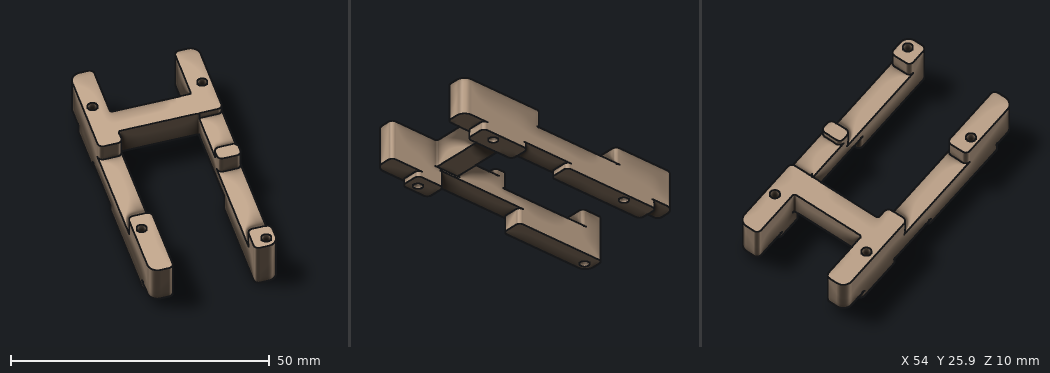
import cadquery as cq

length = 54.05
width = 25.95
height = 10.0

rail_width = 4.8
floor_z = 6.2
outer_radius = 2.05
corner_radius = 1.05
rear_y = width - rail_width

front_end_z = 1.85
front_gap_z = 1.3
rear_end_z = 1.3
rear_gap_z = 3.5

front_left_foot = (5.15, 16.55)
front_right_foot = (26.55, 49.4)
rear_left_foot = (6.75, 13.4)
rear_right_foot = (32.65, length)

front_left_post_end = 19.85
front_right_post_start = 39.0
rear_left_post_end = 16.85
rear_right_post_start = 48.9

lug_start = 26.5
lug_end = 29.6
step_z = 8.55

bar_start = 11.55
bar_end = rear_left_post_end
bar_bottom_z = 4.0
bar_fillet = 0.5

hole_diameter = 2.0
hole_centers = [(9.25, 1.9), (42.6, 1.75), (9.25, 24.05), (51.95, 24.05)]


def block(x_range, y_range, z_range):
    """Box filling the given X, Y and Z ranges."""
    size = [r[1] - r[0] for r in (x_range, y_range, z_range)]
    return cq.Workplane("XY").box(*size, centered=False).translate((x_range[0], y_range[0], z_range[0]))


def rail_piece(rail_y, x_range, z_range):
    """Full-width piece of a rail, rounded at its vertical edges."""
    piece = block(x_range, (rail_y, rail_y + rail_width), z_range)
    outer_side, inner_side = (">Y", "<Y") if rail_y == rear_y else ("<Y", ">Y")
    for x_end, x_side, rail_end in ((x_range[0], "<X", 0), (x_range[1], ">X", length)):
        outer = outer_radius if x_end == rail_end else corner_radius
        piece = piece.edges("|Z").edges(x_side).edges(outer_side).fillet(outer)
        piece = piece.edges("|Z").edges(x_side).edges(inner_side).fillet(corner_radius)
    return piece


def front_rail():
    gap_x = (front_left_foot[1] - corner_radius, front_right_foot[0] + corner_radius)
    rail = rail_piece(0, (0, length), (front_end_z, floor_z))
    rail = rail.union(block(gap_x, (0, rail_width), (front_gap_z, front_end_z)))
    for foot in (front_left_foot, front_right_foot):
        rail = rail.union(rail_piece(0, foot, (0, front_end_z)))
    for post in ((0, front_left_post_end), (front_right_post_start, length)):
        rail = rail.union(rail_piece(0, post, (floor_z, height)))
    return rail


def rear_rail():
    step_x = (bar_start, (lug_start + lug_end) / 2)
    rail = rail_piece(rear_y, (0, length), (rear_gap_z, floor_z))
    rail = rail.union(block(step_x, (rear_y, width), (floor_z, step_z)))
    left_end_x = (0, rear_left_foot[1])
    rail = rail.union(rail_piece(rear_y, left_end_x, (rear_end_z, rear_gap_z)))
    for foot in (rear_left_foot, rear_right_foot):
        rail = rail.union(rail_piece(rear_y, foot, (0, rear_gap_z)))
    for raised in ((0, rear_left_post_end), (lug_start, lug_end), (rear_right_post_start, length)):
        rail = rail.union(rail_piece(rear_y, raised, (floor_z, height)))
    return rail


def cross_bar():
    """Bar between the rails, flaring in a concave arc where it meets them."""
    bar_z = (bar_bottom_z, height)
    gap_y = (rail_width, rear_y)
    bar = block((bar_start - bar_fillet, bar_end + bar_fillet), gap_y, bar_z)
    for x_range in ((0, bar_start), (bar_end, length)):
        bar = bar.cut(block(x_range, gap_y, bar_z).edges("|Z").fillet(bar_fillet))
    root = block((bar_start, bar_end), (rear_y, rear_y + corner_radius), bar_z)
    return bar.union(root)


result = front_rail().union(rear_rail()).union(cross_bar())
holes = cq.Workplane("XY").pushPoints(hole_centers).circle(hole_diameter / 2).extrude(height)
result = result.cut(holes)